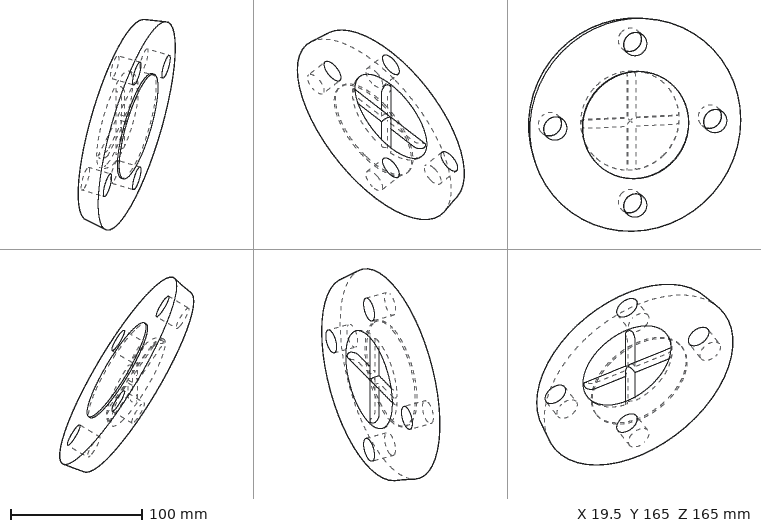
import cadquery as cq
import math

outer_diameter = 165.0
disc_thickness = 18.0
rim_taper_degrees = 10.0
front_edge_radius = 1.5

raised_face_diameter = 83.0
raised_face_height = 1.5

hole_diameter = 18.0
bolt_circle_diameter = 125.0
hole_count = 4

recess_floor_diameter = 63.0
recess_depth = 7.0
recess_diameter = recess_floor_diameter + 2 * recess_depth

rib_width = 6.5
rib_crest_depth = 1.2
rib_crown_height = 2.5


def make_disc():
    """Tapered disc with a rounded front edge."""
    outer_radius = outer_diameter / 2
    taper = disc_thickness * math.tan(math.radians(rim_taper_degrees))
    front_radius = outer_radius - taper
    disc = (
        cq.Workplane("XY")
        .moveTo(0, 0)
        .lineTo(0, front_radius)
        .lineTo(disc_thickness, outer_radius)
        .lineTo(disc_thickness, 0)
        .close()
        .revolve(360, (0, 0, 0), (1, 0, 0))
    )
    return disc.faces("<X").edges().fillet(front_edge_radius)


def make_raised_face():
    """Round pad standing on the back of the disc."""
    return (
        cq.Workplane("YZ", origin=(disc_thickness, 0, 0))
        .circle(raised_face_diameter / 2)
        .extrude(raised_face_height)
    )


def make_recess():
    """Volume of the recess: the wall is square to the front face and tangent to the floor."""
    floor_radius = recess_floor_diameter / 2
    arc_step = recess_depth * math.sqrt(0.5)
    return (
        cq.Workplane("XY")
        .moveTo(0, 0)
        .lineTo(0, recess_diameter / 2)
        .threePointArc((arc_step, floor_radius + arc_step), (recess_depth, floor_radius))
        .lineTo(recess_depth, 0)
        .close()
        .revolve(360, (0, 0, 0), (1, 0, 0))
    )


def make_rib():
    """Bar along Y with upright sides and an arched crown, long enough to span the recess."""
    half_width = rib_width / 2
    shoulder_depth = rib_crest_depth + rib_crown_height
    return (
        cq.Workplane("XZ", origin=(0, recess_diameter / 2, 0))
        .moveTo(recess_depth, -half_width)
        .lineTo(shoulder_depth, -half_width)
        .threePointArc((rib_crest_depth, 0), (shoulder_depth, half_width))
        .lineTo(recess_depth, half_width)
        .close()
        .extrude(recess_diameter)
    )


def make_bolt_holes():
    """Through holes spaced evenly on the bolt circle, on the Y and Z axes."""
    return (
        cq.Workplane("YZ")
        .polarArray(bolt_circle_diameter / 2, 0, 360, hole_count)
        .circle(hole_diameter / 2)
        .extrude(disc_thickness)
    )


flange = make_disc().union(make_raised_face()).cut(make_bolt_holes())

rib = make_rib()
cross = rib.union(rib.rotate((0, 0, 0), (1, 0, 0), 90))
result = flange.cut(make_recess().cut(cross))